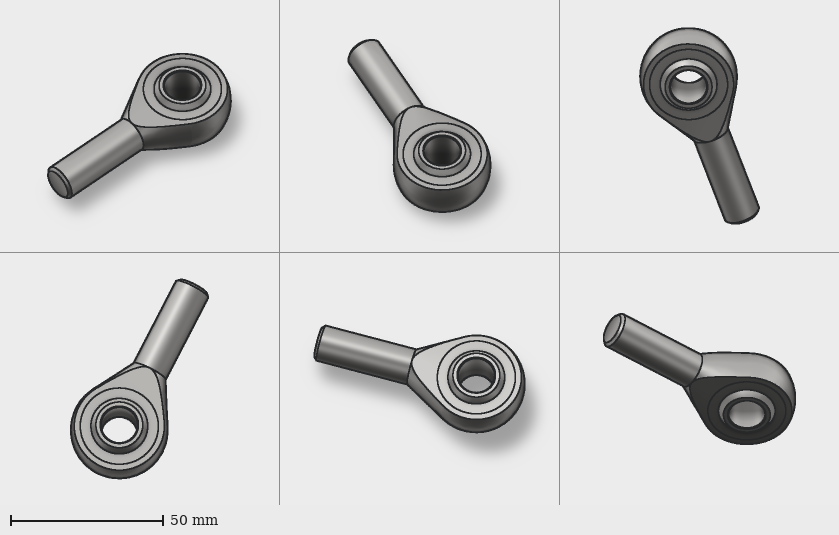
import cadquery as cq
import math

head_radius = 16.0
head_thickness = 12.0
shank_radius = 6.0
shank_start = 22.0
shank_end = 54.0
shank_chamfer = 1.0

race_radius = 12.85

ball_radius = 22.225 / 2
ball_width = 16.0
bore_radius = 6.0
bore_chamfer = 0.3

neck_corner_distance = math.hypot(shank_radius, shank_start)
tangent_angle = math.atan2(shank_radius, shank_start) + math.acos(head_radius / neck_corner_distance)


def head_point(angle):
    """Point of the head's profile, at an angle measured from the -Y axis."""
    return head_radius * math.sin(angle), -head_radius * math.cos(angle)


def centred_cylinder(radius, height):
    return cq.Workplane("XY").circle(radius).extrude(height / 2, both=True)


def make_housing():
    """Spherical head, conical neck and round shank, with flat faces and an eye for the race."""
    tangent_point = head_point(tangent_angle)
    arc_middle = head_point((tangent_angle + math.pi) / 2)
    body = (
        cq.Workplane("XY")
        .moveTo(0, -shank_end)
        .lineTo(shank_radius - shank_chamfer, -shank_end)
        .lineTo(shank_radius, -shank_end + shank_chamfer)
        .lineTo(shank_radius, -shank_start)
        .lineTo(*tangent_point)
        .threePointArc(arc_middle, (0, head_radius))
        .close()
        .revolve(axisStart=(0, 0), axisEnd=(0, 1))
    )
    flats = cq.Workplane("XY").box(2 * head_radius, 2 * shank_end, head_thickness)
    return body.intersect(flats).cut(centred_cylinder(race_radius, head_thickness))


def make_race():
    """Ring filling the eye, with a spherical seat for the ball."""
    seat = cq.Workplane("XY").sphere(ball_radius)
    return centred_cylinder(race_radius, head_thickness).cut(seat)


def make_ball():
    """Sphere with two flat faces and a chamfered through bore."""
    ball = cq.Workplane("XY").sphere(ball_radius).intersect(centred_cylinder(ball_radius, ball_width))
    bored = ball.cut(centred_cylinder(bore_radius, ball_width))
    bore_rims = cq.selectors.RadiusNthSelector(0)
    return bored.faces("|Z").edges(bore_rims).chamfer(bore_chamfer)


housing = make_housing()
race = make_race()
ball = make_ball()

result = cq.Compound.makeCompound([body.solids().val() for body in (housing, race, ball)])